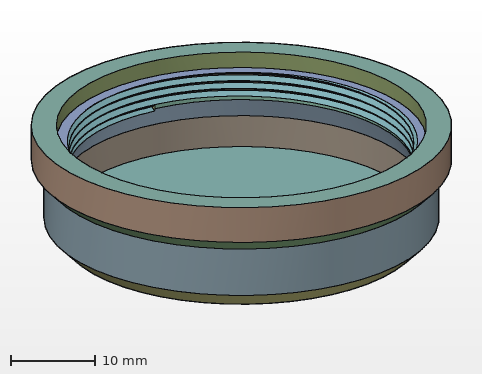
import cadquery as cq

height = 14.0
rim_radius = 25.0
rim_height = 4.5
body_radius = 23.5
bottom_chamfer = 2.0
wall = 2.0
floor_z = 2.0

mouth_radius = 22.0
mouth_depth = 2.0
bore_radius = 20.5
cavity_radius = body_radius - wall
cavity_top_z = 6.0
bore_bottom_z = 8.5

thread_pitch = 1.0
thread_depth = 0.7
groove_half_width = 0.475
thread_overlap = 0.025

rim_bottom_z = height - rim_height
shoulder_z = rim_bottom_z - (rim_radius - body_radius)
ledge_z = height - mouth_depth


def make_cup():
    """Revolve the cup wall and floor about the Z axis."""
    section = [
        (0, 0),
        (body_radius - bottom_chamfer, 0),
        (body_radius, bottom_chamfer),
        (body_radius, shoulder_z),
        (rim_radius, rim_bottom_z),
        (rim_radius, height),
        (mouth_radius, height),
        (mouth_radius, ledge_z),
        (bore_radius, ledge_z),
        (bore_radius, bore_bottom_z),
        (cavity_radius, cavity_top_z),
        (cavity_radius, floor_z),
        (0, floor_z),
    ]
    return cq.Workplane("XZ").polyline(section).close().revolve(360, (0, 0), (0, 1))


def make_thread_cutter():
    """Sweep a V groove along a helix from the undercut up through the ledge."""
    start_z = bore_bottom_z
    turns_height = ledge_z - start_z + thread_pitch / 2
    path = cq.Wire.makeHelix(thread_pitch, turns_height, bore_radius).translate(
        cq.Vector(0, 0, start_z)
    )
    inner_radius = bore_radius - thread_overlap
    groove = (
        cq.Workplane("XZ")
        .moveTo(inner_radius, start_z - groove_half_width)
        .lineTo(bore_radius + thread_depth, start_z)
        .lineTo(inner_radius, start_z + groove_half_width)
        .close()
    )
    cutter = groove.sweep(cq.Workplane(path), isFrenet=True)
    return cutter.rotate((0, 0, 0), (0, 0, 1), 180)


result = make_cup().cut(make_thread_cutter())